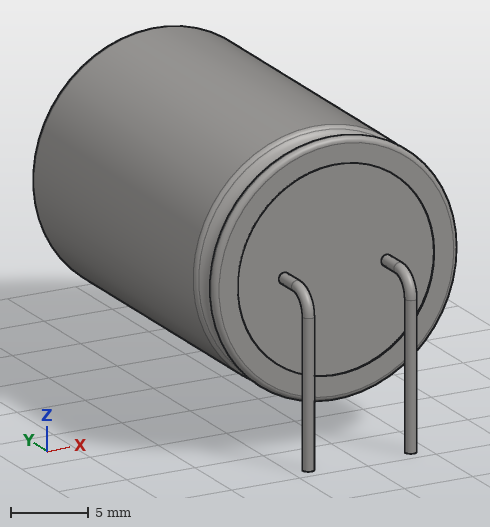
import cadquery as cq
import math


can_diameter = 18.0
can_length = 25.0
edge_radius = 0.4
can_radius = can_diameter / 2

groove_center_y = 1.6
groove_radius = 0.95

recess_diameter = 14.4
recess_depth = 0.1

lead_diameter = 0.8
lead_pitch = 7.5
lead_drop_y = -3.2
lead_bend_radius = 1.6
lead_tip_z = -12.1
lead_root_y = 1.0


def make_can():
    """Revolve the can half-profile, drawn as (radius, y), about the Y axis."""
    lip_radius = can_radius - edge_radius
    front_lip_y = edge_radius
    rear_lip_y = 2 * groove_center_y - front_lip_y

    lip_offset = groove_center_y - front_lip_y
    center_distance = groove_radius + edge_radius
    groove_center_r = lip_radius + math.sqrt(center_distance**2 - lip_offset**2)
    groove_floor = (groove_center_r - groove_radius, groove_center_y)
    tangent_angle = math.asin(lip_offset / center_distance)

    def lip_point(center_y, angle):
        """Point on a rounding, with the angle taken from the outward radial direction toward +Y."""
        radius = lip_radius + edge_radius * math.cos(angle)
        return (radius, center_y + edge_radius * math.sin(angle))

    quarter = math.pi / 2
    back_center_y = can_length - edge_radius
    profile = (
        cq.Workplane("XY")
        .moveTo(0, 0)
        .lineTo(lip_radius, 0)
        .threePointArc(lip_point(front_lip_y, -quarter / 2), lip_point(front_lip_y, 0))
        .threePointArc(lip_point(front_lip_y, tangent_angle / 2), lip_point(front_lip_y, tangent_angle))
        .threePointArc(groove_floor, lip_point(rear_lip_y, -tangent_angle))
        .threePointArc(lip_point(rear_lip_y, -tangent_angle / 2), lip_point(rear_lip_y, 0))
        .lineTo(can_radius, back_center_y)
        .threePointArc(lip_point(back_center_y, quarter / 2), lip_point(back_center_y, quarter))
        .lineTo(0, can_length)
        .close()
    )
    return profile.revolve(360, (0, 0, 0), (0, 1, 0))


def make_recess():
    """Disc that sinks the middle of the lead end; the XZ plane's normal points toward -Y."""
    return cq.Workplane("XZ").circle(recess_diameter / 2).extrude(-recess_depth)


def make_lead(x):
    """Round wire leaving the can along -Y, then bending down to its tip."""
    bend_start_y = lead_drop_y + lead_bend_radius
    bend_mid_offset = lead_bend_radius * math.sin(math.pi / 4)
    bend_mid = (bend_start_y - bend_mid_offset, bend_mid_offset - lead_bend_radius)
    path = (
        cq.Workplane("YZ", origin=(x, 0, 0))
        .moveTo(lead_root_y, 0)
        .lineTo(bend_start_y, 0)
        .threePointArc(bend_mid, (lead_drop_y, -lead_bend_radius))
        .lineTo(lead_drop_y, lead_tip_z)
    )
    section = cq.Workplane("XZ", origin=(x, lead_root_y, 0)).circle(lead_diameter / 2)
    return section.sweep(path)


result = make_can().cut(make_recess())
for side in (-1, 1):
    result = result.union(make_lead(side * lead_pitch / 2))